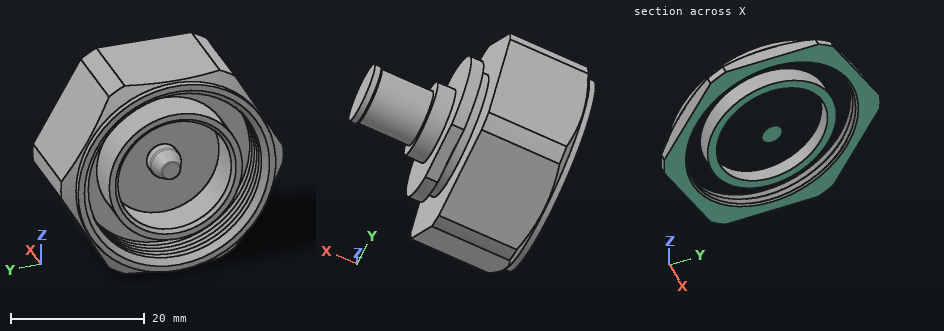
import cadquery as cq
import math


ACROSS_FLATS = 31.85
NUT_DIAMETER = 35.23
COLLAR_DIAMETER = 31.3
COLLAR_LENGTH = 1.02
CORNER_CHAMFER = 1.13
NUT_END = 15.0

BORE_RADIUS = 13.7
MOUTH_CHAMFER = 0.95
THREAD_PITCH = 1.05
THREAD_DEPTH = 0.65
GROOVE_COUNT = 5
BORE_DEPTH = MOUTH_CHAMFER + GROOVE_COUNT * THREAD_PITCH

FERRULE_START = 0.53
FERRULE_RADIUS = 10.55
FERRULE_BORE_RADIUS = 9.0
FERRULE_CHAMFER = 0.55
FERRULE_FLOOR = 6.65

PIN_RADIUS = 2.45
PIN_TIP_RADIUS = 1.48
PIN_TIP = 2.68
PIN_CONE_END = 5.15
PIN_TIP_ROUND = 0.18
PIN_SHOULDER_ROUND = 1.05

NECK_DIAMETER = 20.0
NECK_END = 16.55
FLANGE_DIAMETER = 23.08
FLANGE_ACROSS_FLATS = 21.15
FLANGE_END = 18.6
BOSS_DIAMETER = 12.05
BOSS_END = 21.53
TUBE_DIAMETER = 8.9
TUBE_END = 30.0
LIP_DIAMETER = 9.4
LIP_BEVEL = 0.25
TOTAL_LENGTH = 31.3


def cylinder(diameter, start, end):
    return cq.Workplane("YZ", origin=(start, 0, 0)).circle(diameter / 2).extrude(end - start)


def revolve(outline):
    """Turn an outline of (x, radius) points about the X axis."""
    return cq.Workplane("XY").polyline(outline).close().revolve(360, (0, 0, 0), (1, 0, 0))


def hexagon_nut():
    corner_distance = ACROSS_FLATS / math.cos(math.pi / 6)
    hexagon = (
        cq.Workplane("YZ", origin=(COLLAR_LENGTH, 0, 0))
        .polygon(6, corner_distance)
        .extrude(NUT_END - COLLAR_LENGTH)
    )
    turned_envelope = revolve([
        (COLLAR_LENGTH, 0),
        (COLLAR_LENGTH, COLLAR_DIAMETER / 2),
        (COLLAR_LENGTH + CORNER_CHAMFER, NUT_DIAMETER / 2),
        (NUT_END, NUT_DIAMETER / 2),
        (NUT_END, 0),
    ])
    collar = cylinder(COLLAR_DIAMETER, 0, COLLAR_LENGTH)
    return hexagon.intersect(turned_envelope).union(collar)


def threaded_bore():
    """Bore with a bevelled mouth and ring-shaped V grooves for the thread."""
    outline = [
        (0, 0),
        (0, BORE_RADIUS + MOUTH_CHAMFER),
        (MOUTH_CHAMFER, BORE_RADIUS),
    ]
    for groove in range(GROOVE_COUNT):
        groove_start = MOUTH_CHAMFER + groove * THREAD_PITCH
        outline.append((groove_start + THREAD_PITCH / 2, BORE_RADIUS + THREAD_DEPTH))
        outline.append((groove_start + THREAD_PITCH, BORE_RADIUS))
    outline.append((BORE_DEPTH, 0))
    return revolve(outline)


def ferrule():
    """Cup that is open at the mating end and closed by its floor."""
    return revolve([
        (NUT_END, 0),
        (FERRULE_FLOOR, 0),
        (FERRULE_FLOOR, FERRULE_BORE_RADIUS),
        (FERRULE_START + FERRULE_CHAMFER, FERRULE_BORE_RADIUS),
        (FERRULE_START, FERRULE_BORE_RADIUS + FERRULE_CHAMFER),
        (FERRULE_START, FERRULE_RADIUS),
        (NUT_END, FERRULE_RADIUS),
    ])


def contact_pin():
    pin = revolve([
        (PIN_TIP, 0),
        (PIN_TIP, PIN_TIP_RADIUS),
        (PIN_CONE_END, PIN_RADIUS),
        (NUT_END, PIN_RADIUS),
        (NUT_END, 0),
    ])
    shoulder = cq.selectors.NearestToPointSelector((PIN_CONE_END, 0, 0))
    pin = pin.edges("%CIRCLE").edges(shoulder).fillet(PIN_SHOULDER_ROUND)
    return pin.faces("<X").edges().fillet(PIN_TIP_ROUND)


def rear_body():
    neck = cylinder(NECK_DIAMETER, NUT_END, NECK_END)
    flats = cq.Workplane("XY").box(
        2 * TOTAL_LENGTH, FLANGE_DIAMETER, FLANGE_ACROSS_FLATS
    )
    flange = cylinder(FLANGE_DIAMETER, NECK_END, FLANGE_END).intersect(flats)
    boss = cylinder(BOSS_DIAMETER, FLANGE_END, BOSS_END)
    tube = cylinder(TUBE_DIAMETER, BOSS_END, TUBE_END)
    lip = revolve([
        (TUBE_END, 0),
        (TUBE_END, TUBE_DIAMETER / 2),
        (TUBE_END + LIP_BEVEL, LIP_DIAMETER / 2),
        (TOTAL_LENGTH, LIP_DIAMETER / 2),
        (TOTAL_LENGTH, 0),
    ])
    return neck.union(flange).union(boss).union(tube).union(lip)


def ferrule_bore():
    """Space inside the ferrule, carried on where the nut bore stops short of its floor."""
    return cylinder(2 * FERRULE_BORE_RADIUS, 0, FERRULE_FLOOR)


nut = hexagon_nut().cut(threaded_bore()).cut(ferrule_bore())
result = nut.union(ferrule()).union(contact_pin()).union(rear_body())